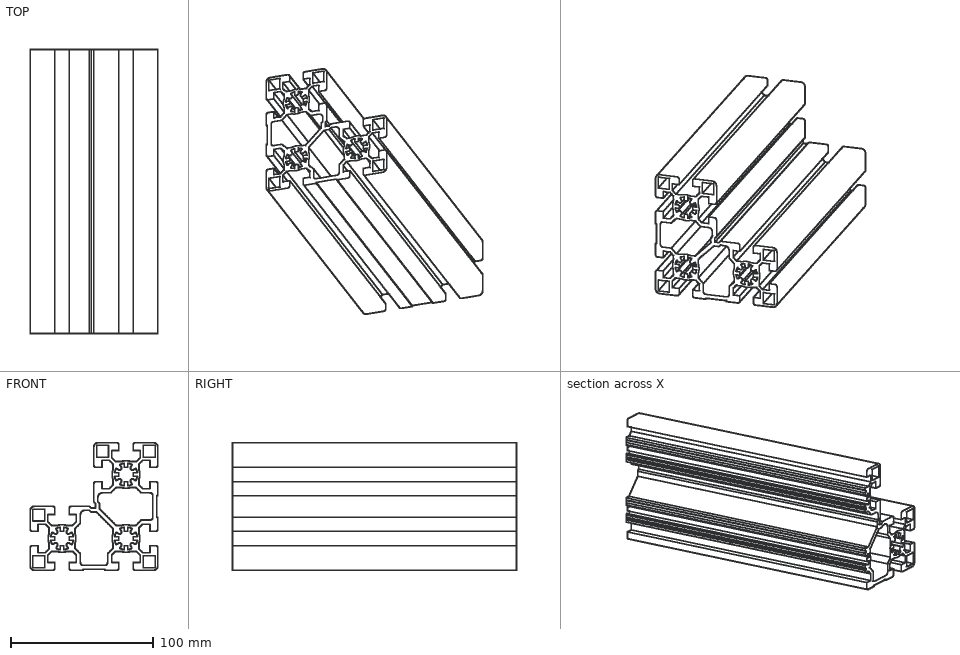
import cadquery as cq
import math

length = 200.0
cell = 45.0
half_cell = cell / 2
wall = 3.0
corner_radius = 3.2

slot_half_width = 5.0
lip_radius = 1.5
lip_inner = 16.8
slot_inner_half_width = 10.0
slot_shoulder = 11.8
core_half = 9.2
core_bulge_radius = 9.8

bore_root_radius = 8.0
bore_tip_radius = 5.0
tooth_width = 2.5
diagonal_tip_width = 2.2
diagonal_root_width = 3.8
tooth_tip_radius = 0.5
teeth_per_kind = 4

channel = 8.2
channel_offset = 16.5

notch_rise = 0.2
relief_depth = 1.2
relief_start = 3.2

recess_width = 15.2
recess_depth = 0.7

cavity_shoulder = 10.8
web = 3.2
cavity_top_radius = 3.0
cavity_bottom_radius = 1.8

left_cell = (-half_cell, -half_cell)
corner_cell = (half_cell, -half_cell)
upper_cell = (half_cell, half_cell)
cells = (left_cell, corner_cell, upper_cell)

UP, LEFT, DOWN, RIGHT = 0, 90, 180, 270
slots = (
    (left_cell, UP),
    (left_cell, LEFT),
    (left_cell, DOWN),
    (corner_cell, DOWN),
    (corner_cell, RIGHT),
    (upper_cell, UP),
    (upper_cell, LEFT),
    (upper_cell, RIGHT),
)
channel_corners = (
    (left_cell, -1, 1),
    (left_cell, -1, -1),
    (corner_cell, 1, -1),
    (upper_cell, -1, 1),
    (upper_cell, 1, 1),
)

strip_level = notch_rise - relief_depth
strip_start = relief_depth - relief_start


def prism(outline):
    """Extrude a closed XZ outline over the full length, centred on Y = 0."""
    return outline.extrude(length / 2, both=True)


def polygon_prism(points):
    return prism(cq.Workplane("XZ").polyline(points).close())


def mirrored(points):
    """Reflect section points about the diagonal Z = -X, in reverse order."""
    return [(-z, -x) for x, z in reversed(points)]


def round_edges(body, points, radius):
    """Fillet the lengthwise edges through the given section points."""
    for x, z in points:
        nearest = cq.selectors.NearestToPointSelector((x, 0, z))
        body = body.edges("|Y").edges(nearest).fillet(radius)
    return body


def blank():
    left_arm = [
        (-cell, notch_rise),
        (-relief_start, notch_rise),
        (strip_start, strip_level),
    ]
    inner_corner = [(-strip_level, strip_level)]
    outer_corners = [(cell, cell), (cell, -cell), (-cell, -cell)]
    body = polygon_prism(left_arm + inner_corner + mirrored(left_arm) + outer_corners)
    arm_ends = [left_arm[0]] + mirrored(left_arm[:1])
    return round_edges(body, outer_corners + arm_ends, corner_radius)


def t_slot(center, angle, mouth):
    """T-slot opening toward +Z at the mouth height, turned about the centre of its cell."""
    lip_center_x = slot_half_width + lip_radius
    lip_center_z = mouth - lip_radius
    lip_mid_x = lip_center_x - lip_radius * math.sqrt(0.5)
    lip_mid_z = lip_center_z + lip_radius * math.sqrt(0.5)
    floor_half_width = core_half - slot_shoulder + slot_inner_half_width
    outline = (
        cq.Workplane("XZ")
        .moveTo(lip_center_x, mouth)
        .threePointArc((lip_mid_x, lip_mid_z), (slot_half_width, lip_center_z))
        .lineTo(slot_half_width, lip_inner)
        .lineTo(slot_inner_half_width, lip_inner)
        .lineTo(slot_inner_half_width, slot_shoulder)
        .lineTo(floor_half_width, core_half)
        .lineTo(-floor_half_width, core_half)
        .lineTo(-slot_inner_half_width, slot_shoulder)
        .lineTo(-slot_inner_half_width, lip_inner)
        .lineTo(-slot_half_width, lip_inner)
        .lineTo(-slot_half_width, lip_center_z)
        .threePointArc((-lip_mid_x, lip_mid_z), (-lip_center_x, mouth))
        .close()
    )
    x, z = center
    turned = prism(outline).rotate((0, 0, 0), (0, 1, 0), -angle)
    return turned.translate((x, 0, z))


def slot_mouth(center, direction):
    """Height of the slotted face above the cell centre; the inner faces of the L stand proud."""
    on_inner_face = (center, direction) in ((left_cell, UP), (upper_cell, LEFT))
    return half_cell + notch_rise if on_inner_face else half_cell


def lower_cavity():
    """Cavity between the left and the corner cell, below the diagonal web."""
    side = half_cell - slot_inner_half_width - wall
    core_side = half_cell - core_half
    core_corner = cavity_shoulder - (core_side - side)
    bottom = -cell + recess_depth + wall
    web_shift = web * math.sqrt(2) / 2
    mid = -half_cell
    top = notch_rise - wall
    strip_top = strip_level - wall

    bottom_corners = [(side, bottom), (-side, bottom)]
    top_corner = (-side, top)
    points = bottom_corners + [
        (-side, mid - cavity_shoulder),
        (-core_side, mid - core_corner),
        (-core_side, mid + core_corner),
        (-side, mid + cavity_shoulder),
        top_corner,
        (-relief_start, top),
        (strip_start, strip_top),
        (-strip_top - web_shift, strip_top),
        (core_side, -core_side - web_shift),
        (core_side, mid - core_corner),
        (side, mid - cavity_shoulder),
    ]
    cavity = round_edges(polygon_prism(points), bottom_corners, cavity_bottom_radius)
    return round_edges(cavity, [top_corner], cavity_top_radius)


def across_diagonal(body):
    """Mirror image of a body about the plane Z = -X."""
    return body.mirror("XY").rotate((0, 0, 0), (0, 1, 0), 90)


def tooth(tip_width, root_width, angle):
    """Tooth pointing from the bore wall to the bore axis, turned about that axis."""
    tip_corners = [(bore_tip_radius, tip_width / 2), (bore_tip_radius, -tip_width / 2)]
    root_corners = [(bore_root_radius, -root_width / 2), (bore_root_radius, root_width / 2)]
    body = polygon_prism(tip_corners + root_corners)
    return round_edges(body, tip_corners, tooth_tip_radius).rotate((0, 0, 0), (0, 1, 0), angle)


def toothed_bore():
    bore = prism(cq.Workplane("XZ").circle(bore_root_radius))
    spacing = 360 / teeth_per_kind
    for i in range(teeth_per_kind):
        bore = bore.cut(tooth(tooth_width, tooth_width, i * spacing))
        bore = bore.cut(tooth(diagonal_tip_width, diagonal_root_width, (i + 0.5) * spacing))
    return bore


def recess():
    """Shallow recess in the bottom face."""
    return cq.Workplane("XY").box(recess_width, length, 2 * recess_depth).translate((0, 0, -cell))


result = blank()

for center, direction in slots:
    result = result.cut(t_slot(center, direction, slot_mouth(center, direction)))

for cutter in (lower_cavity(), recess()):
    result = result.cut(cutter).cut(across_diagonal(cutter))

for (x, z), x_sign, z_sign in channel_corners:
    place = (x + x_sign * channel_offset, 0, z + z_sign * channel_offset)
    result = result.cut(cq.Workplane("XY").box(channel, length, channel).translate(place))

core = prism(cq.Workplane("XZ").circle(core_bulge_radius))
bore = toothed_bore()
for x, z in cells:
    result = result.union(core.translate((x, 0, z))).cut(bore.translate((x, 0, z)))